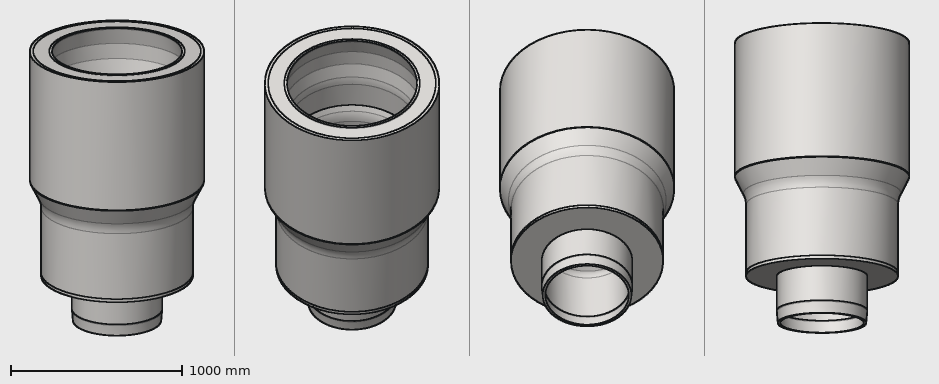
import cadquery as cq
import math

total_height = 1680.0
collar_length = 5.0
bend_radius = 150.0

casing_diameter = 1020.0
casing_wall = 20.0
casing_bottom = 880.0
skirt_diameter = 890.0
skirt_wall = 16.0
skirt_corner = 746.0
skirt_bottom = 300.0
base_ring_thickness = 20.0

liner_wall = 16.0
liner_bore = 760.0
chamber_bore = 810.0
chamber_top = 1577.0
chamber_bottom = 1482.0
chamber_corner = 1372.0
chamber_bend_radius = 230.0
throat_bore = 698.0
throat_cone_top = 1185.0
throat_corner = 1121.0
throat_bottom = 600.0

pipe_diameter = 530.0
pipe_wall = 15.0
pipe_corner = 433.0
tip_height = 73.0
tip_diameter = 518.0


def turned(path):
    """Solid between the axis and a path, top to bottom.

    A path point is (diameter, height) at the end of a straight line,
    or (diameter, height, radius) at the end of an arc that is hollow on the outside.
    """
    profile = cq.Workplane("XZ").moveTo(0, path[0][1])
    for diameter, height, *arc_radius in path:
        point = (diameter / 2, height)
        profile = profile.radiusArc(point, -arc_radius[0]) if arc_radius else profile.lineTo(*point)
    return profile.lineTo(0, path[-1][1]).close().revolve(360, (0, 0), (0, 1))


def with_wall(path, wall):
    """The same path moved outwards by one wall thickness."""
    return [(diameter + 2 * wall, *rest) for diameter, *rest in path]


def cone_into_cylinder(wide_diameter, wide_height, narrow_diameter, corner_height, radius=bend_radius):
    """Path down a cone and round a bend into a narrower cylinder."""
    slope = math.atan2((wide_diameter - narrow_diameter) / 2, wide_height - corner_height)
    setback = radius * math.tan(slope / 2)
    cone_end_diameter = narrow_diameter + 2 * setback * math.sin(slope)
    return [
        (wide_diameter, wide_height),
        (cone_end_diameter, corner_height + setback * math.cos(slope)),
        (narrow_diameter, corner_height - setback, radius),
    ]


casing_bore = casing_diameter - 2 * casing_wall
casing_inside = turned([(casing_bore, total_height), (casing_bore, casing_bottom)])
casing = turned([(casing_diameter, total_height), (casing_diameter, casing_bottom)]).cut(casing_inside)

skirt_bore = skirt_diameter - 2 * skirt_wall
cone_top = casing_bottom - collar_length


def skirt_plug(top_diameter, bottom_diameter):
    """Solid with the skirt's shape for one of its two surfaces."""
    return turned([
        (top_diameter, casing_bottom),
        *cone_into_cylinder(top_diameter, cone_top, bottom_diameter, skirt_corner),
        (bottom_diameter, skirt_bottom),
    ])


skirt_inside = skirt_plug(casing_bore, skirt_bore)
skirt = skirt_plug(casing_diameter, skirt_diameter).cut(skirt_inside)

base_bottom = skirt_bottom - base_ring_thickness
base_ring = turned([(skirt_diameter, skirt_bottom), (skirt_diameter, base_bottom)]).cut(
    turned([(pipe_diameter, skirt_bottom), (pipe_diameter, base_bottom)])
)

liner_path = [
    (liner_bore, total_height),
    (liner_bore, total_height - collar_length),
    (chamber_bore, chamber_top),
    *cone_into_cylinder(chamber_bore, chamber_bottom, liner_bore, chamber_corner, chamber_bend_radius),
    *cone_into_cylinder(liner_bore, throat_cone_top, throat_bore, throat_corner),
    (throat_bore, throat_bottom),
]
liner_outside = turned(with_wall(liner_path, liner_wall))
liner = liner_outside.cut(turned(liner_path))


def pipe_plug(top_diameter, bottom_diameter):
    """Solid with the pipe's shape for one of its two surfaces."""
    return turned([
        *cone_into_cylinder(top_diameter, throat_bottom, bottom_diameter, pipe_corner),
        (bottom_diameter, tip_height),
    ])


pipe_bore = pipe_diameter - 2 * pipe_wall
pipe_outside = pipe_plug(throat_bore + 2 * liner_wall, pipe_diameter)
pipe = pipe_outside.cut(pipe_plug(throat_bore, pipe_bore))

tip_path = [
    (pipe_bore, tip_height),
    (pipe_bore, tip_height - collar_length),
    (tip_diameter - 2 * pipe_wall, 0),
]
tip = turned(with_wall(tip_path, pipe_wall)).cut(turned(tip_path))

filling = casing_inside.union(skirt_inside).cut(liner_outside).cut(pipe_outside)

bodies = [casing, skirt, base_ring, liner, pipe, tip, filling]
result = cq.Compound.makeCompound([body.solids().val() for body in bodies])